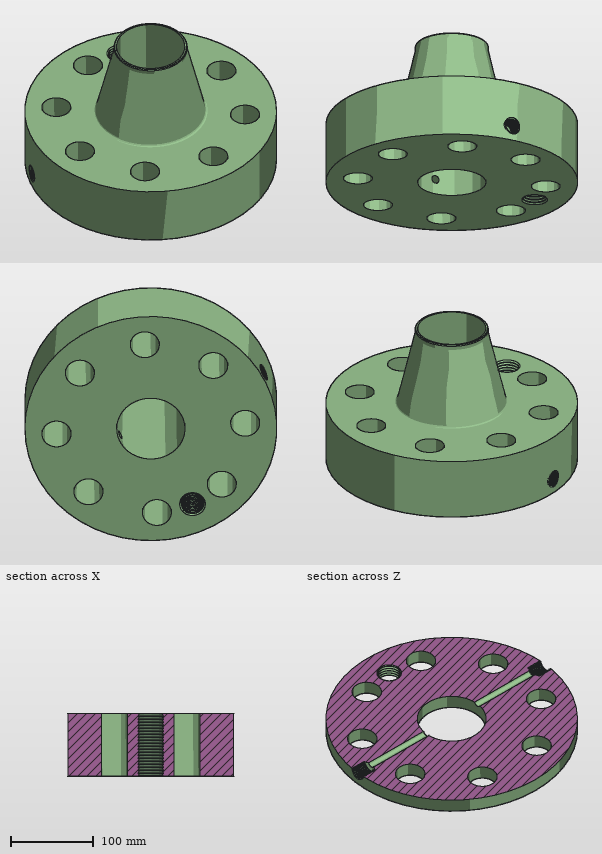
import cadquery as cq
import math

flange_diameter = 304.8
flange_thickness = 76.2
total_height = 177.7
bore_diameter = 82.5
neck_diameter = 88.7
neck_straight_length = 6.5
hub_base_diameter = 133.5
hub_fillet = 3.0
weld_bevel_width = 1.0
weld_bevel_height = 1.2

bolt_circle_diameter = 228.5
bolt_hole_diameter = 35.0
bolt_count = 8

jack_major_diameter = 31.0
jack_minor_diameter = 27.5
jack_pitch_count = 21
jack_pitch = flange_thickness / jack_pitch_count

tap_height = 19.0
tap_major_diameter = 21.3
tap_minor_diameter = 17.7
tap_pitch = 1.8
tap_pitch_count = 11
tap_drill_diameter = 9.8
tap_tip_angle = 118.0


def revolve_about_z(profile):
    """Revolve a closed XZ profile a full turn around the Z axis."""
    return profile.revolve(360, (0, 0, 0), (0, 1, 0))


def flange_body():
    """Disc, conical hub and weld end around the bore, with a fillet at the hub root."""
    neck_radius = neck_diameter / 2
    bore_radius = bore_diameter / 2
    profile = (
        cq.Workplane("XZ")
        .moveTo(bore_radius, 0)
        .lineTo(flange_diameter / 2, 0)
        .lineTo(flange_diameter / 2, flange_thickness)
        .lineTo(hub_base_diameter / 2, flange_thickness)
        .lineTo(neck_radius, total_height - neck_straight_length)
        .lineTo(neck_radius, total_height - weld_bevel_height)
        .lineTo(neck_radius - weld_bevel_width, total_height)
        .lineTo(bore_radius, total_height)
        .close()
    )
    body = revolve_about_z(profile)
    hub_root = body.edges("%CIRCLE").edges(cq.selectors.RadiusNthSelector(-2))
    return hub_root.fillet(hub_fillet)


def thread_outline(major_diameter, minor_diameter, pitch, pitch_count):
    """(radius, depth) points of ring-shaped V grooves, at the major diameter on both ends."""
    outline = []
    for half_pitch in range(2 * pitch_count + 1):
        diameter = minor_diameter if half_pitch % 2 else major_diameter
        outline.append((diameter / 2, half_pitch * pitch / 2))
    return outline


def hole_cutter(outline):
    """Solid around the Z axis from (radius, depth) points, mouth at Z = 0 and depth along +Z."""
    end_depth = outline[-1][1]
    closed_outline = [(0, 0)] + outline + [(0, end_depth)]
    return revolve_about_z(cq.Workplane("XZ").polyline(closed_outline).close())


def bolt_holes():
    """Through holes straddling the X and Y axes."""
    first_angle = 180 / bolt_count
    return (
        cq.Workplane("XY")
        .polarArray(bolt_circle_diameter / 2, first_angle, 360, bolt_count)
        .circle(bolt_hole_diameter / 2)
        .extrude(flange_thickness)
    )


def jack_screw_hole():
    """Threaded through hole on the -X side of the bolt circle."""
    outline = thread_outline(jack_major_diameter, jack_minor_diameter, jack_pitch, jack_pitch_count)
    return hole_cutter(outline).translate((-bolt_circle_diameter / 2, 0, 0))


def pressure_tap():
    """Threaded mouth on the -Y rim, conical drill tip and drilled passage to the bore."""
    outline = thread_outline(tap_major_diameter, tap_minor_diameter, tap_pitch, tap_pitch_count)
    thread_depth = tap_pitch * tap_pitch_count
    tip_radius = tap_minor_diameter / 2
    drill_radius = tap_drill_diameter / 2
    tip_length = (tip_radius - drill_radius) / math.tan(math.radians(tap_tip_angle / 2))
    outline += [
        (tip_radius, thread_depth),
        (drill_radius, thread_depth + tip_length),
        (drill_radius, flange_diameter / 2),
    ]
    cutter = hole_cutter(outline).rotate((0, 0, 0), (1, 0, 0), -90)
    return cutter.translate((0, -flange_diameter / 2, tap_height))


front_tap = pressure_tap()
back_tap = front_tap.rotate((0, 0, 0), (0, 0, 1), 180)

result = flange_body()
for cutter in (bolt_holes(), jack_screw_hole(), front_tap, back_tap):
    result = result.cut(cutter)